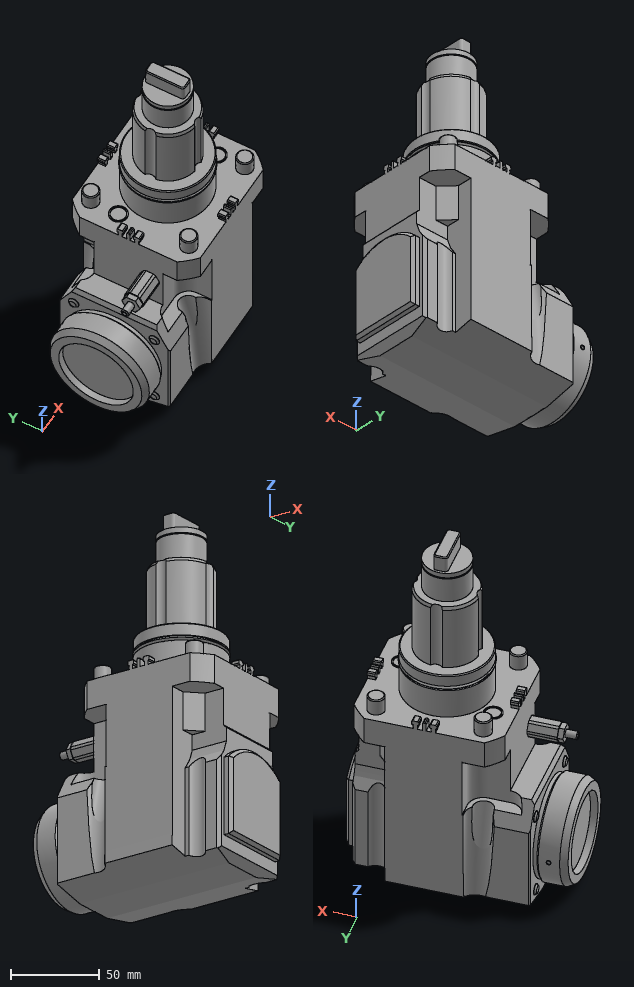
import cadquery as cq
import math

TANG_TOP_Z = 225.0
TIP_TOP_Z = 214.9
TIP_RING_Z = 210.8
SHANK_TOP_Z = 194.5
COLLAR_TOP_Z = 151.0
SEAL_TOP_Z = 143.3
SEAL_BOTTOM_Z = 140.2
TANG_WIDTH = 8.5
TANG_LENGTH = 25.9
TANG_CORNER_RADIUS = 2.0
TIP_RADIUS = 14.6
SHANK_RADIUS = 20.0
COLLAR_RADIUS = 27.5
SEAL_RADIUS = 28.0
SEAL_GROOVE_DEPTH = 1.1
SHANK_CHAMFER_HEIGHT = 2.0
SHANK_CHAMFER_WIDTH = 1.0
FINE_CHAMFER = 0.7
TIP_RING_WIDTH = 0.7
TIP_RING_DEPTH = 0.2
FLUTE_RADIUS = 4.5
FLUTE_OFFSET = 22.5

FLANGE_TOP_Z = 121.0
FLANGE_BOTTOM_Z = 103.5
FLANGE_LEFT_X = -45.0
FLANGE_RIGHT_X = 45.5
HALF_WIDTH = 41.8
FLANGE_CORNER_RADIUS = 55.1
BOLT_OFFSET = 32.0
BOLT_RADIUS = 5.2
BOLT_TOP_Z = 131.5
PORT_OFFSET_Y = 14.0
PORT_OUTER_RADIUS = 5.6
PORT_INNER_RADIUS = 4.7
PORT_GROOVE_DEPTH = 0.5

LUG_HEIGHT = 5.5
LUG_FOOT_HEIGHT = 2.2
LUG_DEPTH = 5.0
LUG_WIDTH = 4.3
LUG_FOOT_WIDTH = 2.5
LUG_SPACING = 5.5
MIDDLE_LUG_WIDTH = 2.2

COLUMN_RIGHT_X = 23.6
WAIST_HALF_WIDTH = 22.5
SCALLOP_RADIUS = BOLT_OFFSET - WAIST_HALF_WIDTH
COLUMN_LEFT_X = -WAIST_HALF_WIDTH
LEDGE_Z = 65.5
UNDERSIDE_HALF_WIDTH = 13.3
UNDERSIDE_EDGE_Z = 6.0
FOOT_WEDGE_TOP_Z = 13.0
FOOT_WEDGE_DEPTH = 0.2
CORNER_WEB_BOTTOM_Z = 80.0
CORNER_WEB_SIZE = 9.0

BLOCK_LEFT_X = -61.2
BLOCK_TOP_Z = 74.0
BLOCK_TOP_HALF_WIDTH = 26.5
BLOCK_HALF_WIDTH = 36.2
BLOCK_SHOULDER_Z = 57.2
BLOCK_TOP_CHAMFER = 2.2
BLOCK_SIDE_CHAMFER = 1.0

RELIEF_RADIUS = 8.8
RELIEF_LEDGE_Y = 39.2
RELIEF_SLOPE = 0.09
ACCESS_RADIUS = 6.3
ACCESS_SLOPE = 0.26
CUTTER_LEAD = 2.2

REAR_BLOCK_X = 47.5
REAR_STEP = REAR_BLOCK_X - FLANGE_RIGHT_X
REAR_BLOCK_TOP_Z = 81.0
REAR_HALF_WIDTH = 29.2
REAR_SHOULDER = [(REAR_HALF_WIDTH, 57.5), (25.0, 64.0), (23.8, 66.8), (WAIST_HALF_WIDTH, 70.6)]
REAR_BOTTOM_CHAMFER = 4.7

SPINDLE_Z = 36.0
NOSE_X = -82.0
NOSE_CHAMFER_X = -77.6
NUT_BACK_X = -64.8
NECK_FRONT_X = -63.7
NUT_RADIUS = 32.5
NOSE_RADIUS = 30.0
NECK_RADIUS = 31.0
NOSE_RECESS_RADIUS = 24.3
NOSE_RECESS_DEPTH = 4.5
NUT_PIN_X = -71.0
NUT_PIN_RADIUS = 1.4
NUT_PIN_HEIGHT = 0.5
COVER_X = 52.6
COVER_RADIUS = 34.5
COVER_HALF_WIDTH = 24.8
COVER_BOTTOM_Z = 12.4
COVER_CHAMFER = 2.0
SCREW_OFFSET = 26.3
SCREW_RADIUS = 3.4
SCREW_HEAD_HEIGHT = 1.4
SCREW_HEAD_CHAMFER = 1.1

FITTING_Y = -14.0
FITTING_Z = 93.4
FITTING_HEX_X = -63.0
FITTING_NECK_X = -66.4
FITTING_TIP_X = -73.8
HEX_ACROSS_FLATS = 11.7
HEX_CORNER_RADIUS = 6.3
NECK_ACROSS_FLATS = 10.4
NIPPLE_RADIUS = 2.5
NIPPLE_CHAMFER = 0.7
NIPPLE_BORE_RADIUS = 1.1
NIPPLE_BORE_DEPTH = 2.2

MIRROR_SIDES = (-1, 1)


def box(x0, x1, y0, y1, z0, z1):
    """Axis-aligned box between two opposite corners."""
    return cq.Workplane("XY").box(x1 - x0, y1 - y0, z1 - z0, centered=False).translate((x0, y0, z0))


def upright_cylinder(x, y, radius, z0, z1):
    return cq.Workplane("XY", origin=(x, y, z0)).circle(radius).extrude(z1 - z0)


def plane_at(x, y=0, z=0):
    """Plane across X: its local axes are +Y and +Z, and it extrudes toward +X."""
    return cq.Workplane("YZ", origin=(x, y, z))


def extrude_across(points, x0, x1):
    """Extrude a (Y, Z) outline along X."""
    return plane_at(x0).polyline(points).close().extrude(x1 - x0)


def symmetric_outline(half):
    """Complete a bottom-to-top outline on the +Y side with its mirror image."""
    return half + [(-y, z) for y, z in reversed(half)]


def make_shank():
    tip = upright_cylinder(0, 0, TIP_RADIUS, SHANK_TOP_Z, TIP_TOP_Z)
    tip_ring = (
        cq.Workplane("XY", origin=(0, 0, TIP_RING_Z))
        .circle(TIP_RADIUS)
        .circle(TIP_RADIUS - TIP_RING_DEPTH)
        .extrude(TIP_RING_WIDTH)
    )
    tip = tip.cut(tip_ring)
    shank = upright_cylinder(0, 0, SHANK_RADIUS, COLLAR_TOP_Z, SHANK_TOP_Z)
    shank = shank.faces(">Z").edges().chamfer(SHANK_CHAMFER_HEIGHT, SHANK_CHAMFER_WIDTH)
    for turn in range(4):
        angle = turn * math.pi / 2
        x = FLUTE_OFFSET * math.cos(angle)
        y = FLUTE_OFFSET * math.sin(angle)
        shank = shank.cut(upright_cylinder(x, y, FLUTE_RADIUS, COLLAR_TOP_Z, SHANK_TOP_Z))
    half_tang = TANG_WIDTH / 2
    half_length = TANG_LENGTH / 2
    tang = box(-half_tang, half_tang, -half_length, half_length, TIP_TOP_Z, TANG_TOP_Z)
    tang = tang.edges("|Z").fillet(TANG_CORNER_RADIUS)
    tang = tang.faces(">Z").edges().chamfer(FINE_CHAMFER)
    return shank.union(tip).union(tang)


def make_collar():
    """Collar with a seal groove and the seal lying in it."""
    groove_radius = COLLAR_RADIUS - SEAL_GROOVE_DEPTH
    seal_middle_z = (SEAL_TOP_Z + SEAL_BOTTOM_Z) / 2
    outline = [
        (0, FLANGE_TOP_Z),
        (COLLAR_RADIUS, FLANGE_TOP_Z),
        (COLLAR_RADIUS, SEAL_BOTTOM_Z),
        (groove_radius, SEAL_BOTTOM_Z),
        (SEAL_RADIUS, seal_middle_z),
        (groove_radius, SEAL_TOP_Z),
        (COLLAR_RADIUS, SEAL_TOP_Z),
        (COLLAR_RADIUS, COLLAR_TOP_Z - FINE_CHAMFER),
        (COLLAR_RADIUS - FINE_CHAMFER, COLLAR_TOP_Z),
        (0, COLLAR_TOP_Z),
    ]
    return cq.Workplane("XZ").polyline(outline).close().revolve(360, (0, 0), (0, 1))


def make_lugs():
    """Key lugs for the +X side, built with the flange edge at X = 0."""
    top = FLANGE_TOP_Z + LUG_HEIGHT
    foot_top = FLANGE_TOP_Z + LUG_FOOT_HEIGHT
    half = MIDDLE_LUG_WIDTH / 2
    lugs = box(-LUG_DEPTH, 0, -half, half, FLANGE_TOP_Z, top).edges("|X and >Z").chamfer(FINE_CHAMFER)
    for side in MIRROR_SIDES:
        y = side * LUG_SPACING
        head = box(-LUG_DEPTH, 0, y - LUG_WIDTH / 2, y + LUG_WIDTH / 2, foot_top, top)
        head = head.edges("|X").chamfer(FINE_CHAMFER)
        foot = box(-LUG_DEPTH, 0, y - LUG_FOOT_WIDTH / 2, y + LUG_FOOT_WIDTH / 2, FLANGE_TOP_Z, top)
        lugs = lugs.union(head).union(foot)
    return lugs


def make_flange():
    flange = box(FLANGE_LEFT_X, FLANGE_RIGHT_X, -HALF_WIDTH, HALF_WIDTH, FLANGE_BOTTOM_Z, FLANGE_TOP_Z)
    flange = flange.intersect(
        upright_cylinder(0, 0, FLANGE_CORNER_RADIUS, FLANGE_BOTTOM_Z, FLANGE_TOP_Z)
    )
    for side in MIRROR_SIDES:
        ring = (
            cq.Workplane("XY", origin=(side * BOLT_OFFSET, -side * PORT_OFFSET_Y, FLANGE_TOP_Z))
            .circle(PORT_OUTER_RADIUS)
            .circle(PORT_INNER_RADIUS)
            .extrude(-PORT_GROOVE_DEPTH)
        )
        flange = flange.cut(ring)
    for x_side in MIRROR_SIDES:
        for y_side in MIRROR_SIDES:
            x = x_side * BOLT_OFFSET
            y = y_side * BOLT_OFFSET
            bolt = upright_cylinder(x, y, BOLT_RADIUS, FLANGE_TOP_Z, BOLT_TOP_Z)
            flange = flange.union(bolt.faces(">Z").chamfer(FINE_CHAMFER))
    for turn, edge in enumerate((FLANGE_RIGHT_X, HALF_WIDTH, -FLANGE_LEFT_X, HALF_WIDTH)):
        lugs = make_lugs().translate((edge, 0, 0)).rotate((0, 0, 0), (0, 0, 1), 90 * turn)
        flange = flange.union(lugs)
    return flange


def make_front_block():
    """Shouldered block that carries the spindle nose."""
    outline = symmetric_outline([
        (BLOCK_HALF_WIDTH, 0),
        (BLOCK_HALF_WIDTH, BLOCK_SHOULDER_Z),
        (BLOCK_TOP_HALF_WIDTH, BLOCK_TOP_Z),
    ])
    block = extrude_across(outline, BLOCK_LEFT_X, COLUMN_LEFT_X)
    block = block.edges("<X and >Z").chamfer(BLOCK_TOP_CHAMFER)
    return block.edges("<X and |Z").chamfer(BLOCK_SIDE_CHAMFER)


def make_upper_notch(side):
    """Milled slot above the ledge, open toward the outside, under a front flange corner."""
    reach = side * HALF_WIDTH
    near = side * BOLT_OFFSET
    left_x = FLANGE_LEFT_X
    right_x = COLUMN_LEFT_X - SCALLOP_RADIUS
    notch = box(left_x - SCALLOP_RADIUS, COLUMN_LEFT_X, min(near, reach), max(near, reach),
                LEDGE_Z, FLANGE_BOTTOM_Z)
    inner = side * WAIST_HALF_WIDTH
    notch = notch.union(box(left_x, right_x, min(inner, near), max(inner, near), LEDGE_Z, FLANGE_BOTTOM_Z))
    for end_x in (left_x, right_x):
        notch = notch.union(upright_cylinder(end_x, near, SCALLOP_RADIUS, LEDGE_Z, FLANGE_BOTTOM_Z))
    return notch


def leaning_plane(ledge_y, slope, side):
    """Plane facing down an axis that meets the ledge under the bolt and leans outward as it descends."""
    origin = (-BOLT_OFFSET, side * (ledge_y - slope * CUTTER_LEAD), LEDGE_Z + CUTTER_LEAD)
    return cq.Plane(origin=origin, xDir=(-side, 0, 0), normal=(0, side * slope, -1))


def make_relief(side):
    """Sloping round-bottomed channel below the ledge, open toward the outside."""
    return (
        cq.Workplane(leaning_plane(RELIEF_LEDGE_Y, RELIEF_SLOPE, side))
        .moveTo(-RELIEF_RADIUS, HALF_WIDTH)
        .lineTo(-RELIEF_RADIUS, 0)
        .threePointArc((0, -RELIEF_RADIUS), (RELIEF_RADIUS, 0))
        .lineTo(RELIEF_RADIUS, HALF_WIDTH)
        .close()
        .extrude(BLOCK_TOP_Z)
    )


def make_access(side):
    """Steeper round pocket that gives a tool access to the flange bolt."""
    plane = leaning_plane(BOLT_OFFSET, ACCESS_SLOPE, side)
    return cq.Workplane(plane).circle(ACCESS_RADIUS).extrude(BLOCK_TOP_Z)


def make_rear_block():
    outline = symmetric_outline(
        [(REAR_HALF_WIDTH, 0)] + REAR_SHOULDER + [(WAIST_HALF_WIDTH, REAR_BLOCK_TOP_Z)]
    )
    block = extrude_across(outline, 0, REAR_BLOCK_X)
    block = block.edges(">X and >Z").chamfer(REAR_STEP)
    block = block.edges(">X and <Z").chamfer(REAR_BOTTOM_CHAMFER)
    block = block.edges(">X and |Z").edges("<Y or >Y").chamfer(REAR_STEP)
    for side in MIRROR_SIDES:
        block = block.cut(
            upright_cylinder(BOLT_OFFSET, side * BOLT_OFFSET, ACCESS_RADIUS, 0, REAR_BLOCK_TOP_Z)
        )
    return block


def make_housing():
    column = box(COLUMN_LEFT_X - SCALLOP_RADIUS, COLUMN_RIGHT_X, -HALF_WIDTH, HALF_WIDTH, 0, FLANGE_BOTTOM_Z)
    waist = box(FLANGE_LEFT_X, FLANGE_RIGHT_X, -WAIST_HALF_WIDTH, WAIST_HALF_WIDTH, LEDGE_Z, FLANGE_BOTTOM_Z)
    front = column.union(waist).union(make_front_block())
    for side in MIRROR_SIDES:
        front = front.cut(make_upper_notch(side)).cut(make_relief(side)).cut(make_access(side))
    housing = front.union(make_rear_block())
    for side in MIRROR_SIDES:
        web = (
            cq.Workplane("XY", origin=(0, 0, CORNER_WEB_BOTTOM_Z))
            .moveTo(COLUMN_RIGHT_X, side * WAIST_HALF_WIDTH)
            .lineTo(COLUMN_RIGHT_X + CORNER_WEB_SIZE, side * WAIST_HALF_WIDTH)
            .lineTo(COLUMN_RIGHT_X, side * (WAIST_HALF_WIDTH + CORNER_WEB_SIZE))
            .close()
            .extrude(FLANGE_BOTTOM_Z - CORNER_WEB_BOTTOM_Z)
        )
        housing = housing.union(web)
    wedge = [
        (-HALF_WIDTH, FOOT_WEDGE_TOP_Z),
        (-HALF_WIDTH - FOOT_WEDGE_DEPTH, UNDERSIDE_EDGE_Z),
        (-HALF_WIDTH, UNDERSIDE_EDGE_Z),
    ]
    housing = housing.union(extrude_across(wedge, RELIEF_RADIUS - BOLT_OFFSET, COLUMN_RIGHT_X))
    for side in MIRROR_SIDES:
        underside = [
            (side * UNDERSIDE_HALF_WIDTH, 0),
            (side * HALF_WIDTH, UNDERSIDE_EDGE_Z),
            (side * HALF_WIDTH, 0),
        ]
        housing = housing.cut(extrude_across(underside, BLOCK_LEFT_X, REAR_BLOCK_X))
    return housing


def make_nose():
    """Clamping nut on its neck, with the recessed face and the locking pin."""
    recess_x = NOSE_X + NOSE_RECESS_DEPTH
    outline = [
        (BLOCK_LEFT_X, 0),
        (BLOCK_LEFT_X, NECK_RADIUS),
        (NECK_FRONT_X, NECK_RADIUS),
        (NUT_BACK_X, NUT_RADIUS),
        (NOSE_CHAMFER_X, NUT_RADIUS),
        (NOSE_X, NOSE_RADIUS),
        (NOSE_X, NOSE_RECESS_RADIUS),
        (recess_x, NOSE_RECESS_RADIUS),
        (recess_x, 0),
    ]
    nose = cq.Workplane("XZ").polyline(outline).close().revolve(360, (0, 0), (1, 0))
    pin = cq.Workplane("XZ", origin=(NUT_PIN_X, 0, 0)).circle(NUT_PIN_RADIUS)
    return nose.union(pin.extrude(-NUT_RADIUS - NUT_PIN_HEIGHT)).translate((0, 0, SPINDLE_Z))


def make_face_screws():
    screws = cq.Workplane()
    for y in (-SCREW_OFFSET, SCREW_OFFSET):
        for z in (SPINDLE_Z - SCREW_OFFSET, SPINDLE_Z + SCREW_OFFSET):
            head = plane_at(BLOCK_LEFT_X, y, z).circle(SCREW_RADIUS).extrude(-SCREW_HEAD_HEIGHT)
            screws = screws.add(head.faces("<X").edges().chamfer(SCREW_HEAD_CHAMFER))
    return screws.combine()


def make_rear_cover():
    length = COVER_X - REAR_BLOCK_X
    cover = plane_at(REAR_BLOCK_X, 0, SPINDLE_Z).circle(COVER_RADIUS).extrude(length)
    cover = cover.intersect(
        box(REAR_BLOCK_X, COVER_X, -COVER_HALF_WIDTH, COVER_HALF_WIDTH,
            COVER_BOTTOM_Z, REAR_BLOCK_TOP_Z)
    )
    return cover.faces(">X").edges().chamfer(COVER_CHAMFER)


def make_fitting():
    def hexagon(x0, x1, across_flats):
        diameter = across_flats / math.cos(math.pi / 6)
        return plane_at(x0, FITTING_Y, FITTING_Z).polygon(6, diameter).extrude(x1 - x0)

    tip = plane_at(FITTING_TIP_X, FITTING_Y, FITTING_Z)
    nipple = tip.circle(NIPPLE_RADIUS).extrude(FITTING_NECK_X - FITTING_TIP_X)
    nipple = nipple.faces("<X").edges().chamfer(NIPPLE_CHAMFER)
    nipple = nipple.cut(tip.circle(NIPPLE_BORE_RADIUS).extrude(NIPPLE_BORE_DEPTH))
    fitting = hexagon(FITTING_HEX_X, FLANGE_LEFT_X, HEX_ACROSS_FLATS)
    fitting = fitting.intersect(
        plane_at(FITTING_HEX_X, FITTING_Y, FITTING_Z)
        .circle(HEX_CORNER_RADIUS)
        .extrude(FLANGE_LEFT_X - FITTING_HEX_X)
    )
    return fitting.union(hexagon(FITTING_NECK_X, FITTING_HEX_X, NECK_ACROSS_FLATS)).union(nipple)


result = (
    make_housing()
    .union(make_flange())
    .union(make_collar())
    .union(make_shank())
    .union(make_nose())
    .union(make_face_screws())
    .union(make_rear_cover())
    .union(make_fitting())
)